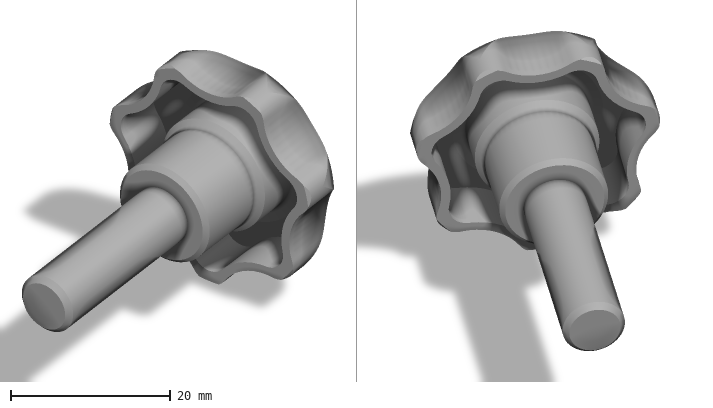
import cadquery as cq
import math

OVERALL_LENGTH = 45
LOBES = 7
VALLEY_CENTER_RADIUS = 20.92
WALL = 1.2

HUB_RADIUS = 14.0 / 2

TIP_RADIUS = 15.98
VALLEY_RADIUS = 7.88
KNOB_HEIGHT = 10.0
DOME_EDGE_RADIUS = 11.05
DOME_EDGE_HEIGHT = 8.7
SHOULDER_START = 3.0
RIM_CHAMFER_WIDTH = 0.35
RIM_CHAMFER_HEIGHT = 0.5

CAVITY_TIP_RADIUS = 14.05
CAVITY_DEPTH = 6.98
ROOF_RECESS_RADIUS = 9.7
BOSS_RADIUS = 8.0
BOSS_CHAMFER = BOSS_RADIUS - HUB_RADIUS
BOSS_FILLET = 0.5

HUB_LENGTH = 10.0
HUB_CHAMFER = 0.65
STUD_RADIUS = 4.0
STUD_END = OVERALL_LENGTH - KNOB_HEIGHT
STUD_CHAMFER = 0.7

PITCH = 2 * math.pi / LOBES


def polar(radius, angle):
    return radius * math.cos(angle), radius * math.sin(angle)


def lobed_prism(valley_radius, tip_radius, depth):
    """Prism from Y = 0 to Y = depth with tangent lobe and valley arcs."""
    reach = valley_radius + tip_radius
    lobe_center = (reach**2 - VALLEY_CENTER_RADIUS**2) / (
        2 * (reach - VALLEY_CENTER_RADIUS * math.cos(PITCH / 2))
    )
    lobe_radius = tip_radius - lobe_center
    share = lobe_radius / (lobe_radius + valley_radius)

    def tangent_point(lobe_angle, valley_angle):
        lobe = polar(lobe_center, lobe_angle)
        valley = polar(VALLEY_CENTER_RADIUS, valley_angle)
        return tuple(a + share * (b - a) for a, b in zip(lobe, valley))

    first_lobe = -math.pi / 2
    outline = cq.Workplane("XZ").moveTo(*tangent_point(first_lobe, first_lobe - PITCH / 2))
    for index in range(LOBES):
        lobe = first_lobe + index * PITCH
        valley = lobe + PITCH / 2
        outline = outline.threePointArc(polar(tip_radius, lobe), tangent_point(lobe, valley))
        outline = outline.threePointArc(
            polar(VALLEY_CENTER_RADIUS - valley_radius, valley),
            tangent_point(lobe + PITCH, valley),
        )
    return outline.close().extrude(-depth)


def revolve(profile):
    return profile.close().revolve(360, (0, 0, 0), (0, 1, 0))


dome_rise = KNOB_HEIGHT - DOME_EDGE_HEIGHT
dome_radius = (DOME_EDGE_RADIUS**2 + dome_rise**2) / (2 * dome_rise)
dome_center = KNOB_HEIGHT - dome_radius


def knob():
    """Lobed prism trimmed by a domed, round-shouldered envelope."""
    inset = TIP_RADIUS - DOME_EDGE_RADIUS
    rise = DOME_EDGE_HEIGHT - SHOULDER_START
    shoulder_radius = (inset**2 + rise**2) / (2 * inset)
    half_sweep = math.asin(rise / shoulder_radius) / 2
    mid_x, mid_y = polar(shoulder_radius, half_sweep)
    shoulder_mid = (TIP_RADIUS - shoulder_radius + mid_x, SHOULDER_START + mid_y)
    mid_radius = DOME_EDGE_RADIUS / 2
    dome_mid = (mid_radius, dome_center + math.sqrt(dome_radius**2 - mid_radius**2))
    envelope = revolve(
        cq.Workplane("XY")
        .lineTo(TIP_RADIUS - RIM_CHAMFER_WIDTH, 0)
        .lineTo(TIP_RADIUS, RIM_CHAMFER_HEIGHT)
        .lineTo(TIP_RADIUS, SHOULDER_START)
        .threePointArc(shoulder_mid, (DOME_EDGE_RADIUS, DOME_EDGE_HEIGHT))
        .threePointArc(dome_mid, (0, KNOB_HEIGHT))
    )
    return lobed_prism(VALLEY_RADIUS, TIP_RADIUS, KNOB_HEIGHT).intersect(envelope)


def cavity():
    """Lobed pocket with a domed roof recess, around a chamfered centre boss."""
    roof_radius = math.hypot(ROOF_RECESS_RADIUS, CAVITY_DEPTH - dome_center)

    def roof_point(radius):
        return radius, dome_center + math.sqrt(roof_radius**2 - radius**2)

    fillet_x = BOSS_RADIUS + BOSS_FILLET
    fillet_y = dome_center + math.sqrt((roof_radius - BOSS_FILLET) ** 2 - fillet_x**2)
    fillet_end_radius = fillet_x * roof_radius / (roof_radius - BOSS_FILLET)
    roof_angle = math.acos(fillet_end_radius / roof_radius)
    mid_x, mid_y = polar(BOSS_FILLET, (math.pi + roof_angle) / 2)

    pocket = lobed_prism(VALLEY_RADIUS + WALL, CAVITY_TIP_RADIUS, CAVITY_DEPTH)
    center_core = revolve(
        cq.Workplane("XY")
        .lineTo(ROOF_RECESS_RADIUS, 0)
        .lineTo(ROOF_RECESS_RADIUS, KNOB_HEIGHT)
        .lineTo(0, KNOB_HEIGHT)
    )
    moat = revolve(
        cq.Workplane("XY")
        .moveTo(HUB_RADIUS, 0)
        .lineTo(BOSS_RADIUS, BOSS_CHAMFER)
        .lineTo(BOSS_RADIUS, fillet_y)
        .threePointArc((fillet_x + mid_x, fillet_y + mid_y), roof_point(fillet_end_radius))
        .threePointArc(
            roof_point((fillet_end_radius + ROOF_RECESS_RADIUS) / 2),
            roof_point(ROOF_RECESS_RADIUS),
        )
        .lineTo(ROOF_RECESS_RADIUS, 0)
    )
    return pocket.cut(center_core).union(moat)


def hub_and_stud():
    return revolve(
        cq.Workplane("XY")
        .moveTo(0, BOSS_CHAMFER)
        .lineTo(HUB_RADIUS, BOSS_CHAMFER)
        .lineTo(HUB_RADIUS, HUB_CHAMFER - HUB_LENGTH)
        .lineTo(HUB_RADIUS - HUB_CHAMFER, -HUB_LENGTH)
        .lineTo(STUD_RADIUS, -HUB_LENGTH)
        .lineTo(STUD_RADIUS, STUD_CHAMFER - STUD_END)
        .lineTo(STUD_RADIUS - STUD_CHAMFER, -STUD_END)
        .lineTo(0, -STUD_END)
    )


result = knob().cut(cavity()).union(hub_and_stud())